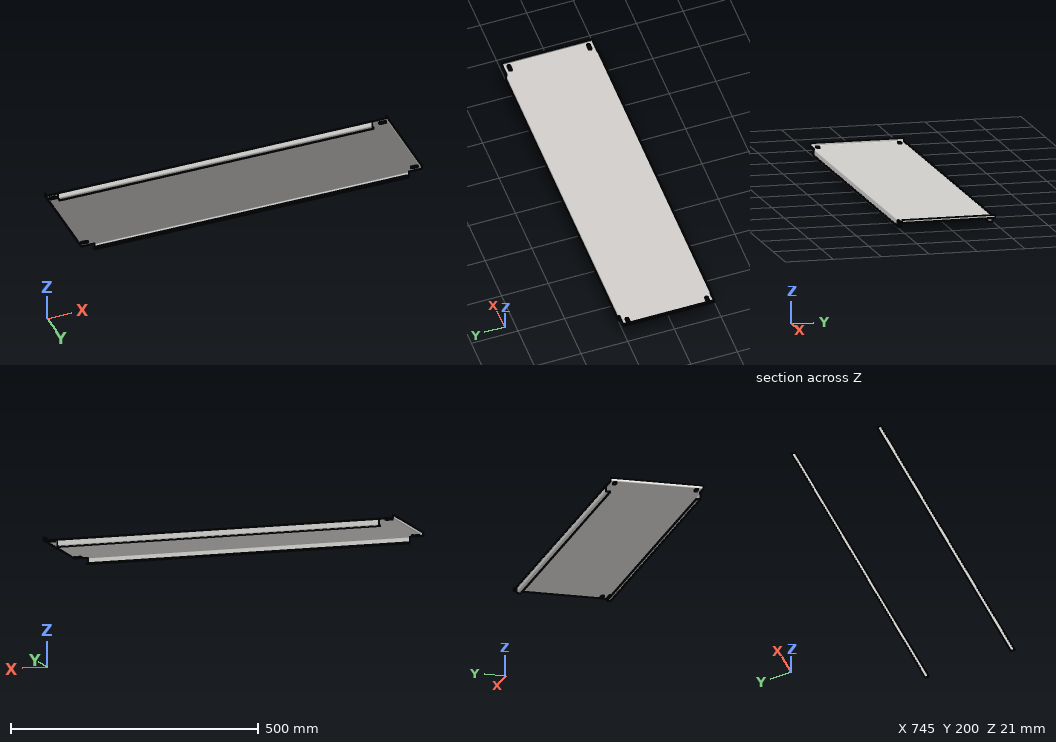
import cadquery as cq

length = 745.0
width = 200.0
height = 21.0

sheet = 1.5
inner_radius = 1.1
outer_radius = inner_radius + sheet

lip_height = 7.5
panel_width = width - 2 * outer_radius
flange_length = 685.5
return_width = 10.0

slot_length = 16.0
slot_width = 6.0
slot_spacing_x = 720.0
slot_spacing_y = 170.5

panel_top = sheet
flange_bottom = lip_height - height


def folded_strip(plane, points, outer_corners, inner_corners, strip_length):
    """Extrude a sharp sheet profile about its plane and round its folds concentrically."""
    profile = cq.Workplane(plane).polyline(points).close()
    strip = profile.extrude(strip_length / 2, both=True)
    for corners, radius in ((outer_corners, outer_radius), (inner_corners, inner_radius)):
        for across, up in corners:
            corner = (across, 0, up) if plane == "XZ" else (0, across, up)
            strip = strip.edges(cq.NearestToPointSelector(corner)).fillet(radius)
    return strip


def make_panel():
    """Flat panel with a lip folded up along each short end."""
    end = length / 2
    inner_end = end - sheet
    points = [
        (-end, 0),
        (end, 0),
        (end, lip_height),
        (inner_end, lip_height),
        (inner_end, panel_top),
        (-inner_end, panel_top),
        (-inner_end, lip_height),
        (-end, lip_height),
    ]
    outer_corners = [(-end, 0), (end, 0)]
    inner_corners = [(-inner_end, panel_top), (inner_end, panel_top)]
    return folded_strip("XZ", points, outer_corners, inner_corners, panel_width)


def make_flange():
    """Side flange at -Y: a web folded down from the panel and an inward return."""
    outer_y = -width / 2
    inner_y = outer_y + sheet
    overlap_y = sheet - panel_width / 2
    return_y = outer_y + return_width
    return_top = flange_bottom + sheet
    points = [
        (overlap_y, panel_top),
        (outer_y, panel_top),
        (outer_y, flange_bottom),
        (return_y, flange_bottom),
        (return_y, return_top),
        (inner_y, return_top),
        (inner_y, 0),
        (overlap_y, 0),
    ]
    outer_corners = [(outer_y, panel_top), (outer_y, flange_bottom)]
    inner_corners = [(inner_y, 0), (inner_y, return_top)]
    return folded_strip("YZ", points, outer_corners, inner_corners, flange_length)


def make_slots():
    """Cutters for the four corner slots."""
    return (
        cq.Workplane("XY")
        .rarray(slot_spacing_x, slot_spacing_y, 2, 2)
        .slot2D(slot_length, slot_width)
        .extrude(sheet)
    )


flange = make_flange()
result = make_panel().union(flange).union(flange.mirror("XZ")).cut(make_slots())